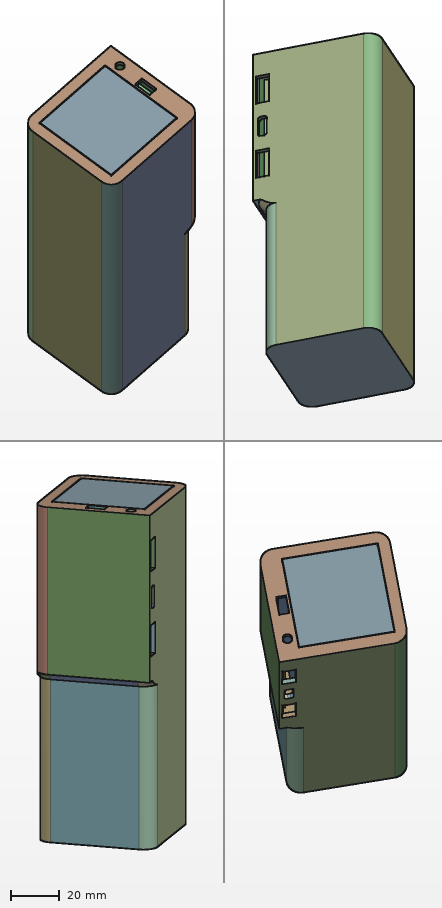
import cadquery as cq

HEIGHT = 143.0
SIDE = 50.0
CORNER_RADIUS = 6.0
BULGE = 4.0
BULGE_HEIGHT = 70.9
BULGE_CHAMFER = 3.0

WELL_SIDE = 40.0
WELL_FLOOR = (SIDE - WELL_SIDE) / 2
BATTERY_GAP = 0.25

SHELL = 2.0
CAVITY_DEPTH = 6.1
CAVITY_CORNER_RADIUS = 2.0
BOARD_THICKNESS = 2.0
BOARD_INSET = 6.0

PORT_DEPTH = 4.1
PORT_DROP = 17.5
PORT_PITCH = 18.0
USB_WIDTH = 5.9
USB_LENGTH = 13.2
MICRO_WIDTH = 4.0
MICRO_LENGTH = 9.5
MICRO_RADIUS = 1.5
LED_DIAMETER = 4.0
LED_FROM_SIDE = 9.7
LED_FROM_BACK = 5.1
SWITCH_LENGTH = 8.0
SWITCH_WIDTH = 4.1
SWITCH_FROM_BACK = 5.9
SWITCH_X = -0.3

LEFT_X = -SIDE / 2
COLUMN_BACK_Y = SIDE / 2
BACK_Y = COLUMN_BACK_Y + BULGE
BULGE_BASE_Z = HEIGHT - BULGE_HEIGHT
CAVITY_BACK_Y = BACK_Y - SHELL
CAVITY_WIDTH = SIDE - 2 * SHELL
CAVITY_BASE_Z = BULGE_BASE_Z + SHELL
CAVITY_HEIGHT = BULGE_HEIGHT - 2 * SHELL


def rounded_column(height):
    return cq.Workplane("XY").rect(SIDE, SIDE).extrude(height).edges("|Z").fillet(CORNER_RADIUS)


def bulged_column(base_z):
    """Deeper column from base_z to the top, left sharp at its -X, +Y corner."""
    return (
        cq.Workplane("XY", origin=(0, BULGE / 2, base_z))
        .rect(SIDE, SIDE + BULGE)
        .extrude(HEIGHT - base_z)
        .edges("|Z and (<Y or >X)")
        .fillet(CORNER_RADIUS)
    )


def bulge_support():
    """Column section flaring out at 45 degrees, trimmed to the outline of the upper half."""
    base_z = BULGE_BASE_Z - BULGE_CHAMFER
    flare = (
        cq.Workplane("XY", origin=(0, 0, base_z))
        .sketch()
        .rect(SIDE, SIDE)
        .vertices()
        .fillet(CORNER_RADIUS)
        .finalize()
        .extrude(BULGE_CHAMFER, taper=-45)
    )
    return flare.intersect(bulged_column(base_z))


def cavity():
    """Closed space behind the battery well, rounded at the corner nearest the outer rounding."""
    return (
        cq.Workplane("XY", origin=(0, CAVITY_BACK_Y - CAVITY_DEPTH / 2, CAVITY_BASE_Z))
        .rect(CAVITY_WIDTH, CAVITY_DEPTH)
        .extrude(CAVITY_HEIGHT)
        .edges("|Z and >X and >Y")
        .fillet(CAVITY_CORNER_RADIUS)
    )


def side_port(index, width, length):
    """Cutter through the -X wall for the port at the given place, counted from the top."""
    centre_z = HEIGHT - PORT_DROP - index * PORT_PITCH
    return cq.Workplane("XY").box(SHELL, width, length).translate(
        (LEFT_X + SHELL / 2, BACK_Y - PORT_DEPTH, centre_z)
    )


def top_openings():
    """Round light hole and rectangular switch opening through the top wall."""
    base = cq.Workplane("XY", origin=(0, 0, HEIGHT - SHELL))
    led = base.center(LEFT_X + LED_FROM_SIDE, BACK_Y - LED_FROM_BACK).circle(LED_DIAMETER / 2).extrude(SHELL)
    switch = base.center(SWITCH_X, BACK_Y - SWITCH_FROM_BACK).rect(SWITCH_LENGTH, SWITCH_WIDTH).extrude(SHELL)
    return led.union(switch)


def make_housing():
    body = rounded_column(HEIGHT).union(bulge_support()).union(bulged_column(BULGE_BASE_Z))
    well = cq.Workplane("XY", origin=(0, 0, WELL_FLOOR)).rect(WELL_SIDE, WELL_SIDE).extrude(HEIGHT - WELL_FLOOR)
    body = body.cut(well).cut(cavity()).cut(top_openings())
    for index in (0, 2):
        body = body.cut(side_port(index, USB_WIDTH, USB_LENGTH))
    micro_port = side_port(1, MICRO_WIDTH, MICRO_LENGTH).edges("|X").fillet(MICRO_RADIUS)
    return body.cut(micro_port)


def make_battery():
    """Square block standing on the floor of the well, flush with the top."""
    side = WELL_SIDE - 2 * BATTERY_GAP
    return cq.Workplane("XY", origin=(0, 0, WELL_FLOOR)).rect(side, side).extrude(HEIGHT - WELL_FLOOR)


def make_circuit_board():
    """Thin upright plate lying against the back of the cavity and standing on its floor."""
    return (
        cq.Workplane("XY", origin=(0, CAVITY_BACK_Y - BOARD_THICKNESS / 2, CAVITY_BASE_Z))
        .rect(CAVITY_WIDTH - 2 * BOARD_INSET, BOARD_THICKNESS)
        .extrude(CAVITY_HEIGHT - BOARD_INSET)
    )


housing = make_housing()
battery = make_battery()
circuit_board = make_circuit_board()

result = cq.Compound.makeCompound([housing.val(), battery.val(), circuit_board.val()])